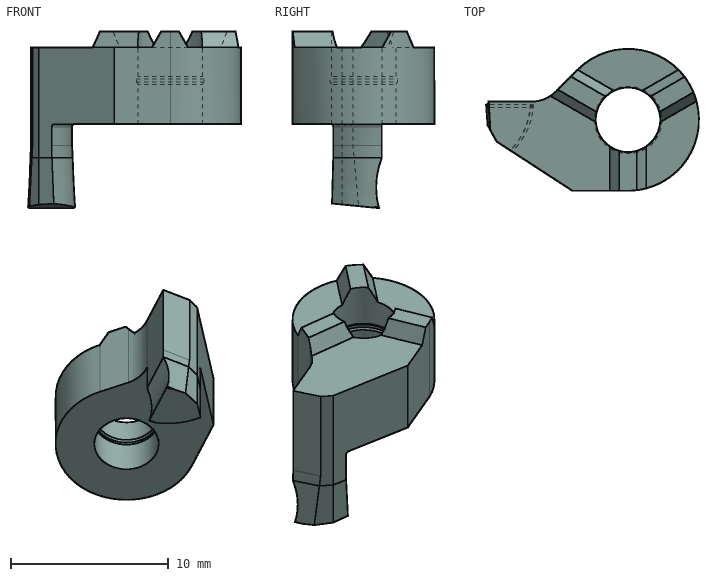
import cadquery as cq
import math

DISC_RADIUS = 9.0 / 2
BORE_RADIUS = 2.04
PLATE_HEIGHT = 4.85
ARM_BLEND_RADIUS = 2.15
BLEND_ANGLE = 45.0

ARM_REAR_Y = 1.16
ARM_END_X = -8.81
SIDE_CORNER = (-8.7, -0.69)
NOSE_CORNER = (-8.32, -1.38)
FLAT_START_X = -3.52

GROOVE_DEPTH = 0.1
GROOVE_WIDTH = 0.5
GROOVE_BEVEL = 0.15
GROOVE_TOP_Z = 3.04

RIDGE_HEIGHT = 1.01
RIDGE_BASE_WIDTH = 2.3
RIDGE_TOP_WIDTH = 1.13
RIDGE_ANGLES = (30, 150, 270)

FLARE_Z = -1.35
JOINT_Z = -2.15
TIP_END_Z = PLATE_HEIGHT + RIDGE_HEIGHT - 11.2
LOFT_END_Z = -5.67
LEG_FRONT_X = -7.47
LEG_REAR_X = -6.19
LEG_FACE_RADIUS = 4.47
LEG_FILLET = 0.16

SIDE_CORNER_SLOPE = 0.093
END_SLOPE = 0.051
REAR_SLOPE = 0.05
FRONT_SLOPE = 0.04

RAKE_MID = (0.81, -4.14)
CUTTING_EDGE_Y = 0.98
HEEL_Y = -2.04
HEEL_Z = -5.03
EDGE_CORNER = 0.11


def y_on_line(start, end, x):
    """Y of the line through two points at the given x."""
    return start[1] + (x - start[0]) * (end[1] - start[1]) / (end[0] - start[0])


def x_on_line(start, end, y):
    """X of the line through two points at the given y."""
    return start[0] + (y - start[1]) * (end[0] - start[0]) / (end[1] - start[1])


def outline(height):
    """Disc and arm outline extruded up from the underside."""
    blend = math.radians(BLEND_ANGLE)
    touch = (-DISC_RADIUS * math.sin(blend), DISC_RADIUS * math.cos(blend))
    corner_x = touch[0] - (touch[1] - ARM_REAR_Y) / math.tan(blend)
    blend_start_x = corner_x - ARM_BLEND_RADIUS * math.tan(blend / 2)
    blend_end = (
        blend_start_x + ARM_BLEND_RADIUS * math.sin(blend),
        ARM_REAR_Y + ARM_BLEND_RADIUS * (1 - math.cos(blend)),
    )
    return (
        cq.Workplane("XY")
        .moveTo(FLAT_START_X, -DISC_RADIUS)
        .lineTo(0, -DISC_RADIUS)
        .threePointArc((DISC_RADIUS, 0), touch)
        .lineTo(*blend_end)
        .tangentArcPoint((blend_start_x, ARM_REAR_Y), relative=False)
        .lineTo(ARM_END_X, ARM_REAR_Y)
        .lineTo(*SIDE_CORNER)
        .lineTo(*NOSE_CORNER)
        .close()
        .extrude(height)
    )


def leg_section(z):
    """Wire of the leg at height z; below FLARE_Z the section grows."""
    flare = max(0, FLARE_Z - z)
    tip_flare = max(0, JOINT_Z - z)
    side_y = SIDE_CORNER[1] + SIDE_CORNER_SLOPE * flare
    side_x = x_on_line(NOSE_CORNER, SIDE_CORNER, side_y)
    front_x = LEG_FRONT_X + FRONT_SLOPE * tip_flare
    front_y = y_on_line(NOSE_CORNER, (FLAT_START_X, -DISC_RADIUS), front_x)
    rear_x = LEG_REAR_X + REAR_SLOPE * flare
    end_x = ARM_END_X - END_SLOPE * flare
    return (
        cq.Workplane("XY", origin=(0, 0, z))
        .moveTo(end_x, ARM_REAR_Y)
        .lineTo(side_x, side_y)
        .lineTo(*NOSE_CORNER)
        .lineTo(front_x, front_y)
        .radiusArc((rear_x, ARM_REAR_Y), -LEG_FACE_RADIUS)
        .close()
        .wire()
        .val()
    )


def leg_piece(top_z, bottom_z):
    """Ruled length of leg between two heights."""
    wires = [leg_section(top_z), leg_section(bottom_z)]
    return cq.Workplane(cq.Solid.makeLoft(wires, True))


def ridge(angle):
    """Radial trapezoidal ridge standing on the plate, clipped by the caller."""
    return (
        cq.Workplane("YZ")
        .moveTo(-RIDGE_BASE_WIDTH / 2, PLATE_HEIGHT)
        .lineTo(RIDGE_BASE_WIDTH / 2, PLATE_HEIGHT)
        .lineTo(RIDGE_TOP_WIDTH / 2, PLATE_HEIGHT + RIDGE_HEIGHT)
        .lineTo(-RIDGE_TOP_WIDTH / 2, PLATE_HEIGHT + RIDGE_HEIGHT)
        .close()
        .extrude(2 * DISC_RADIUS)
        .rotate((0, 0, 0), (0, 0, 1), angle)
    )


def bore_cutter():
    """Through bore with a shallow groove with sloping sides."""
    groove_bottom = GROOVE_TOP_Z - GROOVE_WIDTH
    top = PLATE_HEIGHT + RIDGE_HEIGHT
    return (
        cq.Workplane("XZ")
        .moveTo(0, 0)
        .lineTo(BORE_RADIUS, 0)
        .lineTo(BORE_RADIUS, groove_bottom)
        .lineTo(BORE_RADIUS + GROOVE_DEPTH, groove_bottom + GROOVE_BEVEL)
        .lineTo(BORE_RADIUS + GROOVE_DEPTH, GROOVE_TOP_Z - GROOVE_BEVEL)
        .lineTo(BORE_RADIUS, GROOVE_TOP_Z)
        .lineTo(BORE_RADIUS, top)
        .lineTo(0, top)
        .close()
        .revolve(360, (0, 0, 0), (0, 1, 0))
    )


def make_holder():
    """Plate with drive ridges, bore and the upper part of the leg."""
    plate = outline(PLATE_HEIGHT)
    holder = plate.union(leg_piece(0, FLARE_Z))
    root = cq.selectors.BoxSelector(
        (LEG_FRONT_X, HEEL_Y, -LEG_FILLET), (LEG_REAR_X, ARM_REAR_Y, LEG_FILLET)
    )
    holder = holder.edges("%CIRCLE").edges(root).fillet(LEG_FILLET)
    holder = holder.union(leg_piece(FLARE_Z, JOINT_Z))
    envelope = outline(PLATE_HEIGHT + RIDGE_HEIGHT)
    for angle in RIDGE_ANGLES:
        holder = holder.union(ridge(angle).intersect(envelope))
    return holder.cut(bore_cutter())


def corner_breaks():
    """Cutters along Y for both ends of the cutting edge; the breaks fade as the end face rises."""
    depth = FLARE_Z - TIP_END_Z
    corners = (
        (ARM_END_X - END_SLOPE * depth, 1),
        (LEG_REAR_X + REAR_SLOPE * depth, -1),
    )
    cutters = cq.Workplane()
    for corner_x, inward in corners:
        cutter = (
            cq.Workplane("XZ", origin=(corner_x, ARM_REAR_Y, TIP_END_Z))
            .moveTo(-inward * EDGE_CORNER, -EDGE_CORNER)
            .lineTo(inward * 2 * EDGE_CORNER, -EDGE_CORNER)
            .lineTo(-inward * EDGE_CORNER, 2 * EDGE_CORNER)
            .close()
            .extrude(ARM_REAR_Y - HEEL_Y)
        )
        cutters = cutters.add(cutter)
    return cutters.combine()


def make_tip():
    """Flared cutting tip with a concave rake face and sloping end."""
    stock = leg_piece(JOINT_Z, LOFT_END_Z)
    side_profile = (
        cq.Workplane("YZ", origin=(1.5 * ARM_END_X, 0, 0))
        .moveTo(ARM_REAR_Y, JOINT_Z)
        .threePointArc(RAKE_MID, (CUTTING_EDGE_Y, TIP_END_Z))
        .lineTo(HEEL_Y, HEEL_Z)
        .lineTo(HEEL_Y, JOINT_Z)
        .close()
        .extrude(-ARM_END_X)
    )
    return stock.intersect(side_profile).cut(corner_breaks())



holder = make_holder()
tip = make_tip()
result = cq.Compound.makeCompound([holder.solids().val(), tip.solids().val()])